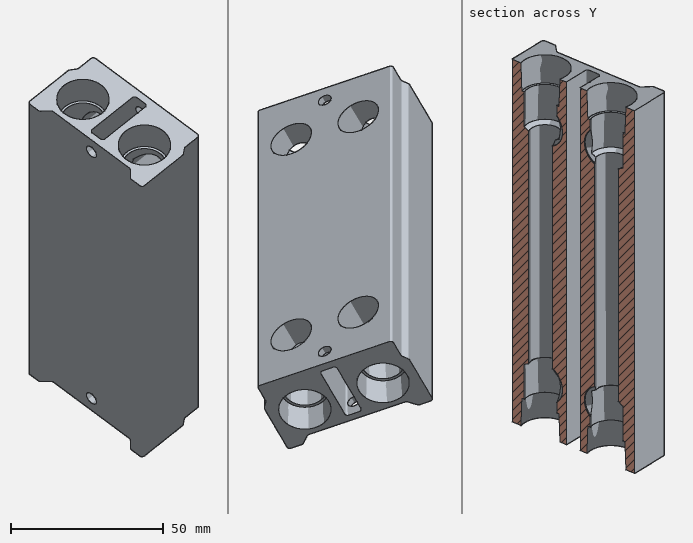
import cadquery as cq
import math

LENGTH = 138.0
WIDTH = 52.0
DEPTH = 29.0
EDGE_RADIUS = 1.04

SHOULDER_INSET = 1.8
SHOULDER_TOP = 7.2
SHOULDER_RISE = 2.5

RECESS_DEPTH = 3.0
RECESS_FLOOR_WIDTH = 35.3

SLOT_WIDTH = 5.8
SLOT_DEPTH = 21.0
SLOT_WALL = 2.6

BORE_SPACING = 28.0
BORE_Y = -1.0
MOUTH_DIAMETER = 17.1
MOUTH_END_DIAMETER = 16.3
MOUTH_DEPTH = 10.5
CORE_DIAMETER = 14.5
CORE_DEPTH = 23.7
PASSAGE_DIAMETER = 11.0

PORT_SPACING = 24.0
PORT_DIAMETER = CORE_DIAMETER
PORT_END_DEPTH = 13.4
PORT_FROM_END = 20.0

DRILL_POINT_ANGLE = 118.0

MOUNT_DIAMETER = 4.5
MOUNT_FROM_END = 6.1


def drill_point_height(radius_drop):
    """Axial length over which a drill point narrows by radius_drop."""
    return radius_drop / math.tan(math.radians(DRILL_POINT_ANGLE / 2))


def make_body():
    top = DEPTH / 2
    bottom = -DEPTH / 2
    half_width = WIDTH / 2
    upper_half = half_width - SHOULDER_INSET
    shoulder_start = top - SHOULDER_TOP
    floor_half = RECESS_FLOOR_WIDTH / 2
    right_side = [
        (floor_half, bottom + RECESS_DEPTH),
        (floor_half + RECESS_DEPTH, bottom),
        (half_width, bottom),
        (half_width, shoulder_start - SHOULDER_RISE),
        (upper_half, shoulder_start),
        (upper_half, top),
    ]
    left_side = [(-x, y) for x, y in reversed(right_side)]
    section = cq.Workplane("XY").workplane(offset=-LENGTH / 2).polyline(right_side + left_side).close()
    return section.extrude(LENGTH).edges("|Z").fillet(EDGE_RADIUS)


def make_slot():
    center_y = DEPTH / 2 - SLOT_WALL - SLOT_DEPTH / 2
    slot = cq.Workplane("XY").box(SLOT_WIDTH, SLOT_DEPTH, LENGTH)
    return slot.edges("|Z").fillet(EDGE_RADIUS).translate((0, center_y, 0))


def make_bore(x):
    """Bore with a tapered mouth, a core hole and a drill point at each end of a narrower passage."""
    end = LENGTH / 2
    mouth_end = end - MOUTH_DEPTH
    core_end = end - CORE_DEPTH
    passage_radius = PASSAGE_DIAMETER / 2
    core_radius = CORE_DIAMETER / 2
    passage_start = core_end - drill_point_height(core_radius - passage_radius)
    upper_outline = [
        (MOUTH_DIAMETER / 2, end),
        (MOUTH_END_DIAMETER / 2, mouth_end),
        (core_radius, mouth_end),
        (core_radius, core_end),
        (passage_radius, passage_start),
    ]
    lower_outline = [(radius, -z) for radius, z in reversed(upper_outline)]
    outline = [(0, end)] + upper_outline + lower_outline + [(0, -end)]
    bore = cq.Workplane("XZ").polyline(outline).close().revolve(360, (0, 0, 0), (0, 1, 0))
    return bore.translate((x, BORE_Y, 0))


def make_port(x, z):
    """Blind hole along Y with a drill point at its inner end."""
    radius = PORT_DIAMETER / 2
    mouth_y = DEPTH / 2
    end_y = mouth_y - PORT_END_DEPTH
    tip_y = end_y - drill_point_height(radius)
    outline = [(mouth_y, 0), (mouth_y, -radius), (end_y, -radius), (tip_y, 0)]
    port = cq.Workplane("YZ").polyline(outline).close().revolve(360, (0, 0, 0), (1, 0, 0))
    return port.translate((x, 0, z))


def make_mount_hole(z):
    hole = cq.Workplane("XZ").circle(MOUNT_DIAMETER / 2).extrude(DEPTH / 2, both=True)
    return hole.translate((0, 0, z))


result = make_body().cut(make_slot())
for side in (-1, 1):
    result = result.cut(make_bore(side * BORE_SPACING / 2))
    for end_sign in (-1, 1):
        port_z = end_sign * (LENGTH / 2 - PORT_FROM_END)
        result = result.cut(make_port(side * PORT_SPACING / 2, port_z))
for end_sign in (-1, 1):
    result = result.cut(make_mount_hole(end_sign * (LENGTH / 2 - MOUNT_FROM_END)))